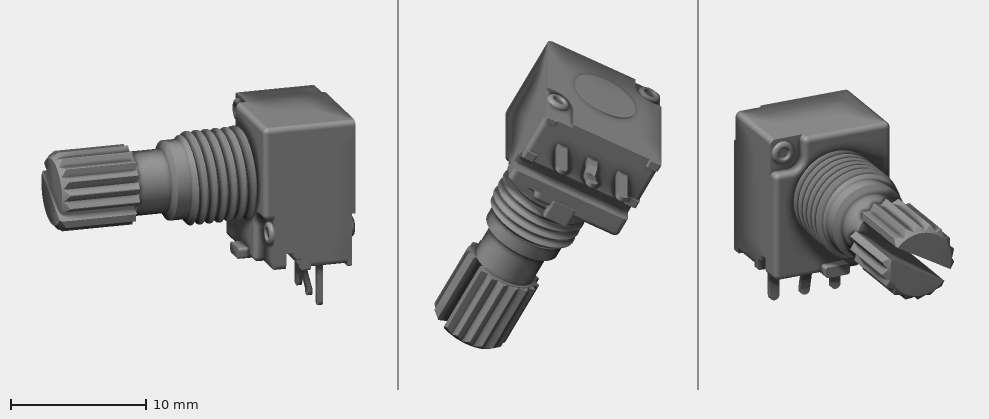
import cadquery as cq
import math


HOUSING_WIDTH = 9.5
HOUSING_TOP = 4.8
HOUSING_BOTTOM = -6.3
EDGE_RADIUS = 0.4
HALF_WIDTH = HOUSING_WIDTH / 2

COVER_BACK = 2.49
WAFER_BACK = 6.17
PLATE_BACK = 7.1
TOTAL_BACK = 7.2
TOTAL_LENGTH = 22.2

RIVET_X = 3.8
RIVET_Z = 3.65
FRONT_RECESS_DEPTH = 0.82
FRONT_RECESS_X = 2.38
UPPER_RECESS_Z = 2.25
LOWER_RECESS_Z = -2.38
FRONT_RECESS_RADIUS = 1.0
REAR_RECESS_DEPTH = 0.27
REAR_RECESS_RADIUS = 1.22

COVER_CUT_FRONT = 1.7
COVER_CUT_TOP = -5.05
WAFER_CUT_BACK = 3.0
WAFER_CUT_TOP = -5.5
FOOT_WIDTH = 1.0
FOOT_BOTTOM = -6.5
FOOT_TOP = HOUSING_BOTTOM + EDGE_RADIUS
FOOT_RADIUS = 0.18
WAFER_FOOT_BACK = 3.62
PLATE_FOOT_FRONT = 6.5

TONGUE_WIDTH = 2.0
TONGUE_TOP = -5.55
TONGUE_BOTTOM = -6.4
TONGUE_FRONT = -0.8
TONGUE_BACK = 0.7
TONGUE_RADIUS = 0.22

DISC_DIAMETER = 5.02

BUSHING_DIAMETER = 6.0
BUSHING_LENGTH = 6.48
BUSHING_CHAMFER_LENGTH = 0.33
THREAD_DIAMETER = 7.02
THREAD_LENGTH = 5.06
THREAD_PITCH = 0.75
THREAD_PHASE = 0.22
THREAD_CREST_WIDTH = 0.09
THREAD_ANGLE = 60
THREAD_ROOT_OVERLAP = 0.05

NECK_DIAMETER = 4.8
SHAFT_TIP = TOTAL_BACK - TOTAL_LENGTH
KNURL_DIAMETER = 6.0
KNURL_ROOT_DIAMETER = 5.25
KNURL_CREST_WIDTH = 0.07
KNURL_TEETH = 18
HEAD_LENGTH = 6.0
KNURL_SETBACK = 0.07
TIP_CHAMFER = 0.49
SLOT_WIDTH = 1.0
SLOT_ANGLE = 30

RIVET_SHANK_DIAMETER = 1.0
RIVET_HEAD_DIAMETER = 1.8
RIVET_HEAD_HEIGHT = 0.33
RIVET_HEAD_RADIUS = 0.3
DIMPLE_MOUTH_DIAMETER = 1.05
DIMPLE_FLOOR_DIAMETER = 0.7
DIMPLE_DEPTH = 0.18

TERMINAL_SPACING = 2.5
TERMINAL_WIDTH = 0.8
TERMINAL_THICKNESS = 0.35
TERMINAL_FRONT = 4.82
TERMINAL_BOTTOM = -10.01
KINK_START = -7.33
KINK_PEAK = -7.97
KINK_END = -9.52
KINK_OFFSET = 0.4
KINK_RADIUS = 0.4

RIVET_CENTERS = [(-RIVET_X, RIVET_Z), (RIVET_X, -RIVET_Z)]


def box(x0, x1, y0, y1, z0, z1):
    """Block between two opposite corners."""
    return cq.Workplane("XY").box(x1 - x0, y1 - y0, z1 - z0, centered=False).translate((x0, y0, z0))


def sketch_plane(y):
    """Workplane facing +Y at the given Y; its local x and y run along Z and X."""
    return cq.Workplane("ZX", origin=(0, y, 0))


def cylinder(diameter, y0, y1, x=0, z=0):
    """Cylinder along Y."""
    return sketch_plane(y0).center(z, x).circle(diameter / 2).extrude(y1 - y0)


def revolved(profile):
    """Solid of revolution about the Y axis from (radius, y) points."""
    return cq.Workplane("XY").polyline(profile).close().revolve(360, (0, 0, 0), (0, 1, 0))


def housing_layer(y0, y1):
    """One layer of the housing with its four long edges rounded."""
    layer = box(-HALF_WIDTH, HALF_WIDTH, y0, y1, HOUSING_BOTTOM, HOUSING_TOP)
    return layer.edges("|Y").fillet(EDGE_RADIUS)


def feet(y0, y1):
    """Pair of feet below the two bottom corners."""
    foot = box(-HALF_WIDTH, FOOT_WIDTH - HALF_WIDTH, y0, y1, FOOT_BOTTOM, FOOT_TOP)
    foot = foot.edges("|Y and <Z").fillet(FOOT_RADIUS)
    return foot.union(foot.mirror("YZ"))


def drill_rivet_holes(layer, y0, y1):
    """Layer with a hole for each rivet shank."""
    for x, z in RIVET_CENTERS:
        layer = layer.cut(cylinder(RIVET_SHANK_DIAMETER, y0, y1, x, z))
    return layer


def raised_front():
    """Front step of the cover, with two opposite corners left out for the rivet heads."""
    depth = FRONT_RECESS_DEPTH
    upper_gap = box(-HALF_WIDTH, -FRONT_RECESS_X, 0, depth, UPPER_RECESS_Z, HOUSING_TOP)
    upper_gap = upper_gap.edges("|Y and >X and <Z").fillet(FRONT_RECESS_RADIUS)
    lower_gap = box(FRONT_RECESS_X, HALF_WIDTH, 0, depth, HOUSING_BOTTOM, LOWER_RECESS_Z)
    lower_gap = lower_gap.edges("|Y and <X and >Z").fillet(FRONT_RECESS_RADIUS)

    step = box(-HALF_WIDTH, HALF_WIDTH, 0, depth, HOUSING_BOTTOM, HOUSING_TOP)
    step = step.cut(upper_gap).cut(lower_gap)
    convex_corners = [
        (-HALF_WIDTH, HOUSING_BOTTOM),
        (-HALF_WIDTH, UPPER_RECESS_Z),
        (-FRONT_RECESS_X, HOUSING_TOP),
        (HALF_WIDTH, HOUSING_TOP),
        (HALF_WIDTH, LOWER_RECESS_Z),
        (FRONT_RECESS_X, HOUSING_BOTTOM),
    ]
    edges = step.faces("<Y").edges()
    for x, z in convex_corners:
        edges = edges.add(step.edges(cq.selectors.NearestToPointSelector((x, depth / 2, z))))
    return edges.fillet(EDGE_RADIUS)


def thread_ridge():
    """Right-handed helical ridge, cut off at the front face and by a 45 degree cone at its end."""
    root = BUSHING_DIAMETER / 2 - THREAD_ROOT_OVERLAP
    crest = THREAD_DIAMETER / 2
    crest_half = THREAD_CREST_WIDTH / 2
    root_half = crest_half + (crest - root) * math.tan(math.radians(THREAD_ANGLE / 2))
    start = THREAD_PHASE - 2 * THREAD_PITCH
    turns = math.ceil((THREAD_LENGTH - start) / THREAD_PITCH) + 1

    helix = cq.Wire.makeHelix(THREAD_PITCH, turns * THREAD_PITCH, root)
    profile = [(root, -root_half), (crest, -crest_half), (crest, crest_half), (root, root_half)]
    ridge = cq.Workplane("XZ").polyline(profile).close().sweep(cq.Workplane(helix), isFrenet=True)
    ridge = ridge.translate((0, 0, start)).rotate((0, 0, 0), (1, 0, 0), 90)

    envelope_radius = crest + THREAD_PITCH
    apex = THREAD_LENGTH + BUSHING_DIAMETER / 2
    envelope = revolved(
        [(0, 0), (envelope_radius, 0), (envelope_radius, envelope_radius - apex), (0, -apex)]
    )
    return ridge.intersect(envelope)


def bushing():
    """Threaded sleeve with a chamfer that meets the bore at its front end."""
    radius = BUSHING_DIAMETER / 2
    core = revolved(
        [
            (0, COVER_BACK),
            (radius, COVER_BACK),
            (radius, BUSHING_CHAMFER_LENGTH - BUSHING_LENGTH),
            (NECK_DIAMETER / 2, -BUSHING_LENGTH),
            (0, -BUSHING_LENGTH),
        ]
    )
    return core.union(thread_ridge())


def tongue():
    """Locating tongue that sticks out of the front face."""
    block = box(-TONGUE_WIDTH / 2, TONGUE_WIDTH / 2, TONGUE_FRONT, TONGUE_BACK, TONGUE_BOTTOM, TONGUE_TOP)
    return block.edges("|Y").fillet(TONGUE_RADIUS)


def make_cover():
    """Front cover with bushing, rivet recesses, bottom cutout and locating tongue."""
    cover = housing_layer(FRONT_RECESS_DEPTH, COVER_BACK).union(raised_front())
    cover = cover.cut(
        box(-HALF_WIDTH, HALF_WIDTH, COVER_CUT_FRONT, COVER_BACK, HOUSING_BOTTOM, COVER_CUT_TOP)
    )
    cover = cover.union(tongue()).union(bushing())
    cover = cover.cut(cylinder(NECK_DIAMETER, -BUSHING_LENGTH, COVER_BACK))
    return drill_rivet_holes(cover, FRONT_RECESS_DEPTH, COVER_BACK)


def make_wafer():
    """Middle layer that carries the terminals."""
    wafer = housing_layer(COVER_BACK, WAFER_BACK).union(feet(WAFER_CUT_BACK, WAFER_FOOT_BACK))
    wafer = wafer.cut(
        box(-HALF_WIDTH, HALF_WIDTH, COVER_BACK, WAFER_CUT_BACK, HOUSING_BOTTOM, WAFER_CUT_TOP)
    )
    return drill_rivet_holes(wafer, COVER_BACK, WAFER_BACK)


def rear_recesses():
    """Two opposite corner recesses for the rear rivet heads, each rounded about its rivet."""
    floor = PLATE_BACK - REAR_RECESS_DEPTH
    inner_x = RIVET_X - REAR_RECESS_RADIUS
    inner_z = RIVET_Z - REAR_RECESS_RADIUS
    upper = box(-HALF_WIDTH, -inner_x, floor, TOTAL_BACK, inner_z, HOUSING_TOP)
    upper = upper.edges("|Y and >X and <Z").fillet(REAR_RECESS_RADIUS)
    lower = box(inner_x, HALF_WIDTH, floor, TOTAL_BACK, FOOT_BOTTOM, -inner_z)
    lower = lower.edges("|Y and <X and >Z").fillet(REAR_RECESS_RADIUS)
    return upper.union(lower)


def make_back_plate():
    """Rear layer with feet, a shallow disc on its rear face and two rivet recesses."""
    plate = housing_layer(WAFER_BACK, PLATE_BACK).union(feet(PLATE_FOOT_FRONT, PLATE_BACK))
    plate = plate.union(cylinder(DISC_DIAMETER, WAFER_BACK, TOTAL_BACK))
    plate = plate.cut(rear_recesses())
    return drill_rivet_holes(plate, WAFER_BACK, PLATE_BACK)


def knurl():
    """Toothed spline with narrow crests, V-shaped gaps and a chamfered tip."""
    crest_radius = KNURL_DIAMETER / 2
    root_radius = KNURL_ROOT_DIAMETER / 2
    half_crest_angle = KNURL_CREST_WIDTH / 2 / crest_radius
    half_tooth_angle = math.pi / KNURL_TEETH
    points = []
    for tooth in range(KNURL_TEETH):
        middle = 2 * half_tooth_angle * tooth
        for radius, offset in (
            (crest_radius, -half_crest_angle),
            (crest_radius, half_crest_angle),
            (root_radius, half_tooth_angle),
        ):
            angle = middle + offset
            points.append((radius * math.cos(angle), radius * math.sin(angle)))
    back = SHAFT_TIP + HEAD_LENGTH - KNURL_SETBACK
    spline = sketch_plane(SHAFT_TIP).polyline(points).close().extrude(back - SHAFT_TIP)
    chamfered_blank = cylinder(KNURL_DIAMETER, SHAFT_TIP, back).faces("<Y").chamfer(TIP_CHAMFER)
    return spline.intersect(chamfered_blank)


def make_shaft():
    """Shaft with a knurled, slotted head."""
    head_back = SHAFT_TIP + HEAD_LENGTH
    shaft = cylinder(NECK_DIAMETER, head_back, COVER_BACK)
    shaft = shaft.union(cylinder(KNURL_ROOT_DIAMETER, head_back - 2 * KNURL_SETBACK, head_back))
    shaft = shaft.union(knurl())
    slot = box(-KNURL_DIAMETER, KNURL_DIAMETER, SHAFT_TIP, head_back, -SLOT_WIDTH / 2, SLOT_WIDTH / 2)
    return shaft.cut(slot.rotate((0, 0, 0), (0, 1, 0), SLOT_ANGLE))


def make_rivet(x, z):
    """Rivet with a rounded, dimpled head at both ends."""
    front_seat = FRONT_RECESS_DEPTH
    rear_seat = PLATE_BACK - REAR_RECESS_DEPTH
    front_end = front_seat - RIVET_HEAD_HEIGHT
    rear_end = rear_seat + RIVET_HEAD_HEIGHT
    front_head = cylinder(RIVET_HEAD_DIAMETER, front_end, front_seat)
    rear_head = cylinder(RIVET_HEAD_DIAMETER, rear_seat, rear_end)
    rivet = cylinder(RIVET_SHANK_DIAMETER, front_seat, rear_seat)
    rivet = rivet.union(front_head.faces("<Y").edges().fillet(RIVET_HEAD_RADIUS))
    rivet = rivet.union(rear_head.faces(">Y").edges().fillet(RIVET_HEAD_RADIUS))
    for end, inward in ((front_end, 1), (rear_end, -1)):
        floor = end + inward * DIMPLE_DEPTH
        dimple = revolved(
            [(0, end), (DIMPLE_MOUTH_DIAMETER / 2, end), (DIMPLE_FLOOR_DIAMETER / 2, floor), (0, floor)]
        )
        rivet = rivet.cut(dimple)
    return rivet.translate((x, 0, z))


def terminal_outline(x):
    """Terminal seen along Y, with a full round end, as a block deep enough for any kink."""
    half = TERMINAL_WIDTH / 2
    back = TERMINAL_FRONT + TERMINAL_THICKNESS
    front = TERMINAL_FRONT - KINK_OFFSET
    block = box(x - half, x + half, front, back, TERMINAL_BOTTOM + half, HOUSING_BOTTOM)
    return block.union(cylinder(TERMINAL_WIDTH, front, back, x, TERMINAL_BOTTOM + half))


def make_side_terminal(x):
    """Flat terminal."""
    half = TERMINAL_WIDTH / 2
    back = TERMINAL_FRONT + TERMINAL_THICKNESS
    strip = box(x - half, x + half, TERMINAL_FRONT, back, TERMINAL_BOTTOM, HOUSING_BOTTOM)
    return strip.intersect(terminal_outline(x))


def make_center_terminal():
    """Terminal with a snap-in kink toward the front."""
    front = TERMINAL_FRONT
    back = TERMINAL_FRONT + TERMINAL_THICKNESS
    strip = (
        cq.Workplane("YZ", origin=(-TERMINAL_WIDTH / 2, 0, 0))
        .moveTo(front, HOUSING_BOTTOM)
        .lineTo(front, KINK_START)
        .lineTo(front - KINK_OFFSET, KINK_PEAK)
        .lineTo(front, KINK_END)
        .lineTo(front, TERMINAL_BOTTOM)
        .lineTo(back, TERMINAL_BOTTOM)
        .lineTo(back, KINK_END)
        .lineTo(back - KINK_OFFSET, KINK_PEAK)
        .lineTo(back, KINK_START)
        .lineTo(back, HOUSING_BOTTOM)
        .close()
        .extrude(TERMINAL_WIDTH)
    )
    strip = strip.edges("|X and <Y").fillet(KINK_RADIUS)
    return strip.intersect(terminal_outline(0))


cover = make_cover()
wafer = make_wafer()
back_plate = make_back_plate()
shaft = make_shaft()
rivets = [make_rivet(x, z) for x, z in RIVET_CENTERS]
side_terminals = [make_side_terminal(x) for x in (-TERMINAL_SPACING, TERMINAL_SPACING)]
center_terminal = make_center_terminal()

bodies = [cover, wafer, back_plate, shaft, *rivets, *side_terminals, center_terminal]
result = cq.Compound.makeCompound([body.solids().val() for body in bodies])